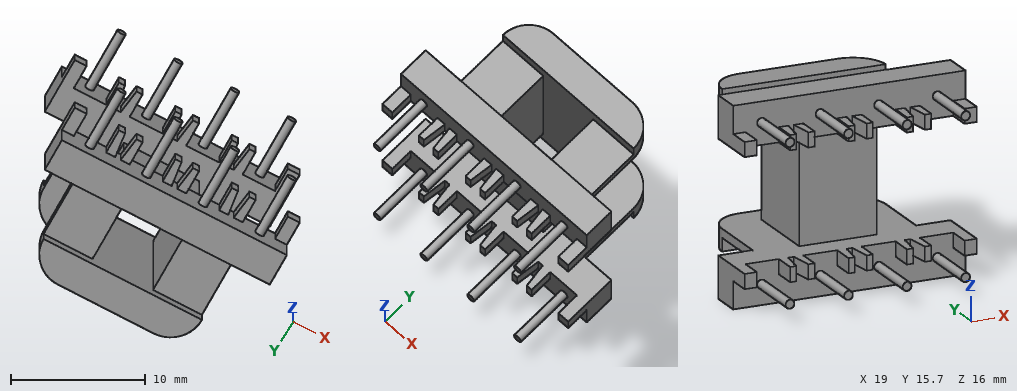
import cadquery as cq

rail_length = 19.0
height = 16.0
winding_gap = 9.15
plate_thickness = 0.72
bar_thickness = 1.8

flange_width = 13.38
bar_depth = 2.66
rail_back = 8.02
rail_depth = bar_depth
rail_front = rail_back + rail_depth

core_width = 6.35
core_back = 2.01
core_depth = 6.67
window_width = 5.11
window_depth = rail_back - bar_depth

pin_count = 4
pin_pitch = 4.79
pin_diameter = 0.72
pin_tip = 15.7
pin_inset = 1.65

tab_length = 2.0
tab_thickness = 1.2
corner_tab_width = 1.0
guide_count = 3
guide_pitch = 4.77
guide_pair_width = 2.0
guide_root_gap = 0.45
guide_tip_gap = 0.97

half_gap = winding_gap / 2
rail_height = height / 2 - half_gap


def block(width, back, depth, bottom, thickness):
    """Box centred on X that runs from `back` towards the front (-Y)."""
    return (
        cq.Workplane("XY")
        .box(width, depth, thickness, centered=(True, False, False))
        .translate((0, -back - depth, bottom))
    )


def row(count, pitch):
    """X positions of evenly spaced features centred on the part."""
    return [(i - (count - 1) / 2) * pitch for i in range(count)]


def rounded_bar():
    """Back bar whose rear corners are rounded over its full depth."""
    blank = block(flange_width, 0, rail_back, half_gap, bar_thickness)
    rounded = blank.edges("|Z and >Y").fillet(bar_depth)
    return rounded.intersect(block(flange_width, 0, bar_depth, half_gap, bar_thickness))


def corner_tab(side):
    """Rectangular tab at one end of the rail; side is -1 or 1."""
    tab = block(corner_tab_width, rail_front, tab_length, half_gap, tab_thickness)
    return tab.translate((side * (rail_length - corner_tab_width) / 2, 0, 0))


def wire_guide(x, side):
    """One tapered prong of a guide pair centred at x; side is -1 or 1."""
    outer = x + side * guide_pair_width / 2
    root = x + side * guide_root_gap / 2
    tip = x + side * guide_tip_gap / 2
    tip_y = -rail_front - tab_length
    return (
        cq.Workplane("XY", origin=(0, 0, half_gap))
        .polyline([(outer, -rail_front), (root, -rail_front), (tip, tip_y), (outer, tip_y)])
        .close()
        .extrude(tab_thickness)
    )


def pin(x):
    """Round terminal pin standing out of the rail front."""
    axis_z = height / 2 - pin_inset
    return (
        cq.Workplane("XZ", origin=(x, -rail_front, axis_z))
        .circle(pin_diameter / 2)
        .extrude(pin_tip - rail_front)
    )


def upper_flange():
    """Back bar, thin plate and front rail, with tabs, guides and pins."""
    flange = rounded_bar()
    flange = flange.union(block(flange_width, bar_depth, window_depth, half_gap, plate_thickness))
    flange = flange.union(block(rail_length, rail_back, rail_depth, half_gap, rail_height))
    for side in (-1, 1):
        flange = flange.union(corner_tab(side))
        for x in row(guide_count, guide_pitch):
            flange = flange.union(wire_guide(x, side))
    for x in row(pin_count, pin_pitch):
        flange = flange.union(pin(x))
    return flange


flange = upper_flange()
core = block(core_width, core_back, core_depth, -half_gap, winding_gap)
window = block(window_width, bar_depth, window_depth, -height / 2, height)

result = core.union(flange).union(flange.mirror("XY")).cut(window)